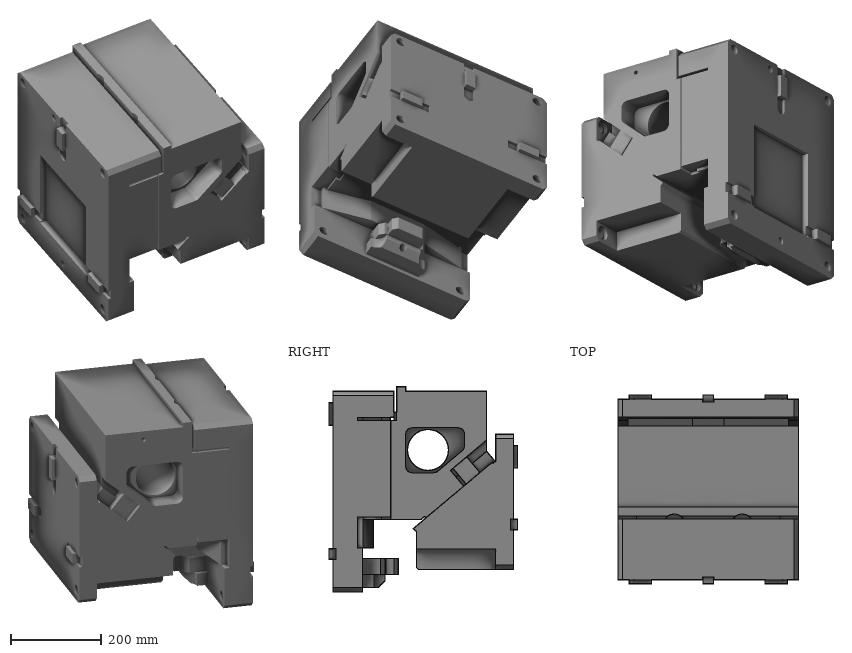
import cadquery as cq
import math

WIDTH = 400.0
HEIGHT = 455.0
KEY_PROUD = 9.0
FACE_Y = 418.0 / 2 - KEY_PROUD
HALF_WIDTH = WIDTH / 2
CORNER_CHAMFER = 10.0

KEY_LENGTH = 50.0
KEY_WIDTH = 23.5
TOP_KEY_DROP = 25.5
KEY_SLOT_WIDTH = 26.5
KEY_SLOT_LENGTH = 113.8
KEY_SLOT_DEPTH = 6.5
SIDE_KEY_X = 150.0
BOLT_X = 175.0
BOLT_BOTTOM_EDGE = 25.0
BOLT_TOP_EDGE = 20.0
BOLT_DIAMETER = 22.8
DOWEL_DIAMETER = 17.0
UPPER_DOWEL_X = -40.0

FRONT_TOP = 445.0
FRONT_HEAD_BACK_Y = -65.0
FRONT_CHEEK_BACK_Y = -73.0
FRONT_PLATE_BACK_Y = -134.0
SLIT_END_Y = -145.5
UPPER_SLIT_TOP = 386.8
CHEEK_TOP = 380.5
CHEEK_BOTTOM = 167.0
LOWER_NOTCH_BOTTOM = 98.5
CORE_HALF_WIDTHS = (159.2, 168.5, 177.5)
CORE_STEP_YS = (-93.0, -133.0)
BOSS_BACK_Y = -110.0
BOSS_BACK_HALF_WIDTH = 68.2
FRONT_GROOVE_Z = 84.5
WINDOW_SIZE = 201.0
WINDOW_BOTTOM = 69.5
WINDOW_DEPTH = 15.0
FRONT_HOLE_DEPTH = FRONT_PLATE_BACK_Y + FACE_Y
FRONT_THROUGH_DEPTH = FACE_Y

CATCH_TOP = 75.0
CATCH_SPLIT_Z = 39.0
CATCH_BOTTOM = 10.0
CATCH_TIP_Y = -55.0
CATCH_SHOULDER_Y = -82.5
CATCH_FOOT_TIP_Y = -84.0
CATCH_TIP_HALF_WIDTH = 41.0
CATCH_HALF_WIDTH = 59.0
CATCH_FOOT_HALF_WIDTH = 68.2
CATCH_CHAMFER = 10.0
CATCH_FILLET = 25.0
CATCH_BOTTOM_CHAMFER = 16.0

SLOPE_ANGLE = math.radians(40)
SLOPE_START_Y = 157.5
SLOPE_START_Z = 291.5
SLOPE_LENGTH = 235.0
SLOPE_RELIEF = 2.7
SLOPE_RELIEF_LENGTH = 7.0
RAIL_HALF_WIDTH = 35.0
RAIL_HEIGHT = 26.5
CONTACT_LENGTH = 198.0

REAR_TOP = 350.0
REAR_BOTTOM = 50.0
REAR_PLATE_Y = 160.0
WEDGE_FRONT_Y = -15.5
WEDGE_NOSE_Z = 134.0
WEDGE_BOTTOM_CHAMFER = 5.0
WEDGE_SIDE_BOTTOM = 95.0
WEDGE_FOOT_HALF_WIDTH = 123.0
REAR_GROOVE_Z = 149.5
COUNTERBORE_DIAMETER = 33.0
COUNTERBORE_DEPTH = 9.0

SLIDE_TOP = 445.0
SLIDE_BOTTOM = 160.5
SLIDE_FRONT_Y = -71.0
RIB_REAR_Y = -38.5
RIB_FRONT_Y = -59.0
TOE_RELIEF = 4.0
LEDGE_TOP = 398.5
LEDGE_HALF_WIDTH = 159.2
SCALLOP_X = 75.0
SCALLOP_RADIUS = 24.0
SCALLOP_DEPTH = 4.5
SIDE_NOTCH_LENGTH = 88.5
SIDE_NOTCH_HEIGHT = 45.5
NOTCH_FLOOR_X = 168.0
TONGUE_X = 178.0
CLAMP_X = 195.5
CLAMP_START = 42.0
CLAMP_END = 81.5
BORE_Y = 10.5
BORE_Z = 315.0
BORE_RADIUS = 45.0
POCKET_DEPTH = 50.0
POCKET_REAR_Y = 91.5
POCKET_FRONT_Y = -39.0
POCKET_TOP = 364.0
POCKET_BOTTOM = 264.5
POCKET_SLOPE_Z = 317.5
POCKET_RADIUS = 15.0
SIDE_HOLE_Y = 52.0
SIDE_HOLE_Z = 425.5
SIDE_HOLE_DIAMETER = 10.0
SIDE_HOLE_DEPTH = 13.5


def box(x_range, y_range, z_range):
    """Box between pairs of X, Y and Z limits."""
    sizes = [high - low for low, high in (x_range, y_range, z_range)]
    corner = cq.Vector(x_range[0], y_range[0], z_range[0])
    return cq.Workplane("XY").add(cq.Solid.makeBox(*sizes, corner))


def side_prism(points, x_min=-HALF_WIDTH, x_max=HALF_WIDTH):
    """Extrude a (Y, Z) outline between two X positions."""
    return cq.Workplane("YZ").polyline(points).close().extrude(x_max - x_min).translate((x_min, 0, 0))


def plan_prism(points, bottom, top):
    """Extrude an (X, Y) half outline, mirrored about X = 0, between two heights."""
    mirrored = [(-x, y) for x, y in reversed(points)]
    plane = cq.Workplane("XY", origin=(0, 0, bottom))
    return plane.polyline(points + mirrored).close().extrude(top - bottom)


def slope_point(along, above):
    """(Y, Z) of a point measured down the slope and square to it."""
    y = SLOPE_START_Y - along * math.cos(SLOPE_ANGLE) - above * math.sin(SLOPE_ANGLE)
    z = SLOPE_START_Z - along * math.sin(SLOPE_ANGLE) + above * math.cos(SLOPE_ANGLE)
    return y, z


def slope_box(start, end, low, high, x_min, x_max):
    """Box aligned with the slope."""
    corners = [(start, low), (end, low), (end, high), (start, high)]
    return side_prism([slope_point(*corner) for corner in corners], x_min, x_max)


def plate_envelope(bottom, top):
    """Bar along Y with the chamfered outline of a mounting plate."""
    envelope = box((-HALF_WIDTH, HALF_WIDTH), (-FACE_Y, FACE_Y), (bottom, top))
    return envelope.edges("|Y").chamfer(CORNER_CHAMFER)


def face_holes(places, diameter, depth):
    """Holes running toward +Y from the front mounting face."""
    return cq.Workplane("XZ", origin=(0, -FACE_Y, 0)).pushPoints(places).circle(diameter / 2).extrude(-depth)


def add_keys(bracket, top, groove_z):
    """Cut the key slots in the face at Y = -FACE_Y and fit the keys as part of the bracket."""
    slot_floor = (-FACE_Y, -FACE_Y + KEY_SLOT_DEPTH)
    key_span = (-FACE_Y - KEY_PROUD, -FACE_Y + KEY_SLOT_DEPTH)
    slot_half = KEY_SLOT_WIDTH / 2
    slot_end_z = top - KEY_SLOT_LENGTH + slot_half
    groove_span = (groove_z - KEY_WIDTH / 2, groove_z + KEY_WIDTH / 2)

    bracket = bracket.cut(box((-slot_half, slot_half), slot_floor, (slot_end_z, top)))
    bracket = bracket.cut(face_holes([(0, slot_end_z)], KEY_SLOT_WIDTH, KEY_SLOT_DEPTH))
    key_top = top - TOP_KEY_DROP
    bracket = bracket.union(
        box((-KEY_WIDTH / 2, KEY_WIDTH / 2), key_span, (key_top - KEY_LENGTH, key_top))
    )
    for side in (-1, 1):
        groove_x = sorted((side * WINDOW_SIZE / 2, side * HALF_WIDTH))
        bracket = bracket.cut(box(groove_x, slot_floor, groove_span))
        key_x = (side * SIDE_KEY_X - KEY_LENGTH / 2, side * SIDE_KEY_X + KEY_LENGTH / 2)
        bracket = bracket.union(box(key_x, key_span, groove_span))
    return bracket


def bolt_places(bottom, top):
    """(X, Z) centres of the four corner bolts of a mounting plate."""
    heights = (bottom + BOLT_BOTTOM_EDGE, top - BOLT_TOP_EDGE)
    return [(side * BOLT_X, z) for side in (-1, 1) for z in heights]


def front_core():
    """Stepped block between the side slits, with a tapered boss below it."""
    near, middle, far = CORE_HALF_WIDTHS
    step_1, step_2 = CORE_STEP_YS
    stepped = [
        (near, SLIDE_FRONT_Y),
        (near, step_1),
        (middle, step_1),
        (middle, step_2),
        (far, step_2),
        (far, SLIT_END_Y),
    ]
    tapered = [(BOSS_BACK_HALF_WIDTH, BOSS_BACK_Y), (far, step_2), (far, SLIT_END_Y)]
    upper = plan_prism(stepped, SLIDE_BOTTOM, CHEEK_TOP)
    slit_fill = plan_prism(
        [(x, min(y, FRONT_CHEEK_BACK_Y)) for x, y in stepped], CHEEK_TOP, UPPER_SLIT_TOP
    )
    return upper.union(slit_fill).union(plan_prism(tapered, LOWER_NOTCH_BOTTOM, SLIDE_BOTTOM))


def front_catch():
    """Stepped catch with a flared and chamfered foot."""
    upper = plan_prism(
        [
            (CATCH_TIP_HALF_WIDTH - CATCH_CHAMFER, CATCH_TIP_Y),
            (CATCH_TIP_HALF_WIDTH, CATCH_TIP_Y - CATCH_CHAMFER),
            (CATCH_TIP_HALF_WIDTH, CATCH_SHOULDER_Y),
            (CATCH_HALF_WIDTH - CATCH_CHAMFER, CATCH_SHOULDER_Y),
            (CATCH_HALF_WIDTH - CATCH_CHAMFER, CATCH_FOOT_TIP_Y),
            (CATCH_HALF_WIDTH, CATCH_FOOT_TIP_Y - CATCH_CHAMFER),
            (CATCH_HALF_WIDTH, FRONT_PLATE_BACK_Y),
        ],
        CATCH_SPLIT_Z,
        CATCH_TOP,
    )
    x_range = (-CATCH_FOOT_HALF_WIDTH, CATCH_FOOT_HALF_WIDTH)
    foot = box(x_range, (FRONT_PLATE_BACK_Y, CATCH_FOOT_TIP_Y), (CATCH_BOTTOM, CATCH_SPLIT_Z))
    foot = foot.faces(">Y").edges("<Z").chamfer(CATCH_BOTTOM_CHAMFER)
    flares = (
        cq.Workplane("XY", origin=(0, CATCH_FOOT_TIP_Y, CATCH_BOTTOM))
        .pushPoints([(-CATCH_FOOT_HALF_WIDTH, 0), (CATCH_FOOT_HALF_WIDTH, 0)])
        .circle(CATCH_FILLET)
        .extrude(CATCH_SPLIT_Z - CATCH_BOTTOM)
    )
    return upper.union(foot.cut(flares))


def make_front_bracket():
    """Front mounting plate with its cheeks, core, catch and keys."""
    profile = [
        (-FACE_Y, 0),
        (-FACE_Y, FRONT_TOP),
        (FRONT_HEAD_BACK_Y, FRONT_TOP),
        (FRONT_HEAD_BACK_Y, UPPER_SLIT_TOP),
        (SLIT_END_Y, UPPER_SLIT_TOP),
        (SLIT_END_Y, CHEEK_TOP),
        (FRONT_CHEEK_BACK_Y, CHEEK_TOP),
        (FRONT_CHEEK_BACK_Y, CHEEK_BOTTOM),
        (SLIT_END_Y, CHEEK_BOTTOM),
        (SLIT_END_Y, LOWER_NOTCH_BOTTOM),
        (FRONT_PLATE_BACK_Y, LOWER_NOTCH_BOTTOM),
        (FRONT_PLATE_BACK_Y, 0),
    ]
    bracket = side_prism(profile).intersect(plate_envelope(0, FRONT_TOP))
    bracket = bracket.union(front_core()).union(front_catch())

    window_half = WINDOW_SIZE / 2
    bracket = bracket.cut(
        box(
            (-window_half, window_half),
            (-FACE_Y, -FACE_Y + WINDOW_DEPTH),
            (WINDOW_BOTTOM, WINDOW_BOTTOM + WINDOW_SIZE),
        )
    )
    bracket = bracket.cut(face_holes(bolt_places(0, FRONT_TOP), BOLT_DIAMETER, FRONT_HOLE_DEPTH))
    dowel_places = [(0, BOLT_BOTTOM_EDGE), (UPPER_DOWEL_X, FRONT_TOP - BOLT_TOP_EDGE)]
    dowel_depths = (FRONT_THROUGH_DEPTH, FRONT_HOLE_DEPTH)
    for place, depth in zip(dowel_places, dowel_depths):
        bracket = bracket.cut(face_holes([place], DOWEL_DIAMETER, depth))
    return add_keys(bracket, FRONT_TOP, FRONT_GROOVE_Z)


def slope_rail():
    """Central rail on the slope, which fills a matching groove in the slide."""
    return slope_box(0, CONTACT_LENGTH, 0, RAIL_HEIGHT, -RAIL_HALF_WIDTH, RAIL_HALF_WIDTH)


def make_rear_bracket():
    """Rear mounting plate with its wedge, rail and keys."""
    root_y, root_z = slope_point(0, -SLOPE_RELIEF)
    root_rise = (REAR_PLATE_Y - root_y) * math.tan(SLOPE_ANGLE)
    profile = [
        (FACE_Y, REAR_BOTTOM),
        (FACE_Y, REAR_TOP),
        (REAR_PLATE_Y, REAR_TOP),
        (REAR_PLATE_Y, root_z + root_rise),
        slope_point(SLOPE_RELIEF_LENGTH, -SLOPE_RELIEF),
        slope_point(SLOPE_RELIEF_LENGTH, 0),
        slope_point(SLOPE_LENGTH, 0),
        (WEDGE_FRONT_Y, WEDGE_NOSE_Z),
        (WEDGE_FRONT_Y, REAR_BOTTOM + WEDGE_BOTTOM_CHAMFER),
        (WEDGE_FRONT_Y + WEDGE_BOTTOM_CHAMFER, REAR_BOTTOM),
    ]
    bracket = side_prism(profile).intersect(plate_envelope(REAR_BOTTOM, REAR_TOP))
    for side in (-1, 1):
        corner_x = sorted((side * WEDGE_FOOT_HALF_WIDTH, side * HALF_WIDTH))
        bracket = bracket.cut(
            box(corner_x, (WEDGE_FRONT_Y, REAR_PLATE_Y), (REAR_BOTTOM, WEDGE_SIDE_BOTTOM))
        )
    bracket = bracket.union(slope_rail())

    bracket = bracket.mirror("XZ")
    plate_thickness = FACE_Y - REAR_PLATE_Y
    places = bolt_places(REAR_BOTTOM, REAR_TOP)
    bracket = bracket.cut(face_holes(places, BOLT_DIAMETER, plate_thickness))
    counterbores = face_holes(places, COUNTERBORE_DIAMETER, COUNTERBORE_DEPTH)
    bracket = bracket.cut(counterbores.translate((0, plate_thickness - COUNTERBORE_DEPTH, 0)))
    return add_keys(bracket, REAR_TOP, REAR_GROOVE_Z).mirror("XZ")


def slide_side_notch():
    """Clearance at the -X end of the slide, left around its tongue and clamp block."""
    outside = -WIDTH
    notch = slope_box(-SIDE_NOTCH_LENGTH, SIDE_NOTCH_LENGTH, 0, SIDE_NOTCH_HEIGHT, outside, -NOTCH_FLOOR_X)
    tongue = slope_box(0, SIDE_NOTCH_LENGTH, 0, RAIL_HEIGHT, -TONGUE_X, -NOTCH_FLOOR_X)
    clamp = slope_box(CLAMP_START, CLAMP_END, 0, SIDE_NOTCH_HEIGHT, -CLAMP_X, -NOTCH_FLOOR_X)
    return notch.cut(tongue).cut(clamp)


def slide_pocket():
    """Rounded pocket in the -X end of the slide."""
    slope_run = (POCKET_SLOPE_Z - POCKET_BOTTOM) / math.tan(SLOPE_ANGLE)
    outline = [
        (POCKET_REAR_Y, POCKET_TOP),
        (POCKET_FRONT_Y, POCKET_TOP),
        (POCKET_FRONT_Y, POCKET_BOTTOM),
        (POCKET_REAR_Y - slope_run, POCKET_BOTTOM),
        (POCKET_REAR_Y, POCKET_SLOPE_Z),
    ]
    pocket = side_prism(outline, -HALF_WIDTH, -HALF_WIDTH + POCKET_DEPTH)
    return pocket.edges("|X").fillet(POCKET_RADIUS)


def slide_scallops():
    """Round clearances in the front of the top rib."""
    centre_y = RIB_FRONT_Y + SCALLOP_DEPTH - SCALLOP_RADIUS
    return (
        cq.Workplane("XY", origin=(0, centre_y, CHEEK_TOP))
        .pushPoints([(-SCALLOP_X, 0), (SCALLOP_X, 0)])
        .circle(SCALLOP_RADIUS)
        .extrude(HEIGHT - CHEEK_TOP)
    )


def make_slide():
    """Block that rests on the wedge, between the two brackets."""
    tongue_corner = slope_point(0, RAIL_HEIGHT)
    toe_y, toe_z = slope_point(CONTACT_LENGTH, TOE_RELIEF)
    profile = [
        (tongue_corner[0], SLIDE_TOP),
        tongue_corner,
        slope_point(0, 0),
        slope_point(CONTACT_LENGTH, 0),
        (toe_y, toe_z),
        (toe_y - (toe_z - SLIDE_BOTTOM) / math.tan(SLOPE_ANGLE), SLIDE_BOTTOM),
        (SLIDE_FRONT_Y, SLIDE_BOTTOM),
        (SLIDE_FRONT_Y, CHEEK_TOP),
        (RIB_FRONT_Y, CHEEK_TOP),
        (RIB_FRONT_Y, HEIGHT),
        (RIB_REAR_Y, HEIGHT),
        (RIB_REAR_Y, SLIDE_TOP),
    ]
    slide = side_prism(profile)
    ledge_y = (FRONT_HEAD_BACK_Y, RIB_FRONT_Y)
    slide = slide.union(box((-LEDGE_HALF_WIDTH, LEDGE_HALF_WIDTH), ledge_y, (CHEEK_TOP, LEDGE_TOP)))
    slide = slide.cut(slide_scallops()).cut(slope_rail())
    for end_feature in (slide_side_notch(), slide_pocket()):
        slide = slide.cut(end_feature).cut(end_feature.mirror("YZ"))

    side_plane = cq.Workplane("YZ", origin=(-HALF_WIDTH, 0, 0))
    slide = slide.cut(side_plane.center(BORE_Y, BORE_Z).circle(BORE_RADIUS).extrude(WIDTH))
    side_hole = (
        cq.Workplane("YZ", origin=(-HALF_WIDTH, SIDE_HOLE_Y, SIDE_HOLE_Z))
        .circle(SIDE_HOLE_DIAMETER / 2)
        .extrude(SIDE_HOLE_DEPTH)
    )
    return slide.cut(side_hole)


front_bracket = make_front_bracket()
rear_bracket = make_rear_bracket()
slide = make_slide()

result = cq.Compound.makeCompound([*front_bracket.vals(), *rear_bracket.vals(), *slide.vals()])